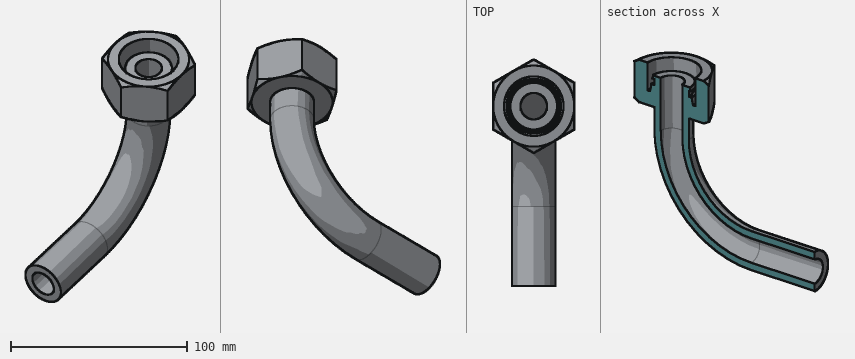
import cadquery as cq
import math

pipe_diameter = 25.0
bore_diameter = 15.0
bend_radius = 57.0
neck_length = 13.1
total_length = 128.5

nut_width = 46.0
nut_height = 27.0
corner_chamfer_angle = 30.0
socket_diameter = 33.8

nose_tip_diameter = 26.5
nose_base_diameter = 31.0
nose_recess = 7.0
nose_half_angle = 12.0
seal_groove_diameter = 25.0
seal_groove_width = 3.5
seal_groove_offset = 2.5

corner_radius = nut_width / math.sqrt(3)
tail_length = total_length - corner_radius - bend_radius
nut_bottom = bend_radius + neck_length
nut_top = nut_bottom + nut_height
nose_tip = nut_top - nose_recess
nose_length = (nose_base_diameter - nose_tip_diameter) / 2 / math.tan(math.radians(nose_half_angle))
nose_base = nose_tip - nose_length


def swept_round(diameter):
    """Round bar from the nose tip, round the bend and out along -Y."""
    path = (
        cq.Workplane("YZ")
        .moveTo(0, nose_tip)
        .lineTo(0, bend_radius)
        .radiusArc((-bend_radius, 0), bend_radius)
        .lineTo(-bend_radius - tail_length, 0)
    )
    return cq.Workplane("XY", origin=(0, 0, nose_tip)).circle(diameter / 2).sweep(path)


def chamfered_hexagon():
    """Hexagon with corners at +/-Y, its corners turned to a cone at both ends."""
    flat_radius = nut_width / 2
    drop = (corner_radius - flat_radius) * math.tan(math.radians(corner_chamfer_angle))
    hexagon = (
        cq.Workplane("XY", origin=(0, 0, nut_bottom))
        .polygon(6, 2 * corner_radius)
        .extrude(nut_height)
        .rotate((0, 0, 0), (0, 0, 1), 90)
    )
    turned_blank = (
        cq.Workplane("XZ")
        .moveTo(0, nut_bottom)
        .lineTo(flat_radius, nut_bottom)
        .lineTo(corner_radius, nut_bottom + drop)
        .lineTo(corner_radius, nut_top - drop)
        .lineTo(flat_radius, nut_top)
        .lineTo(0, nut_top)
        .close()
        .revolve(360, (0, 0, 0), (0, 1, 0))
    )
    return hexagon.intersect(turned_blank)


def tapered_nose():
    """Cone that narrows upwards to the nose tip."""
    return (
        cq.Workplane("XY", origin=(0, 0, nose_base))
        .circle(nose_base_diameter / 2)
        .workplane(offset=nose_length)
        .circle(nose_tip_diameter / 2)
        .loft()
    )


def seal_groove():
    """Ring that cuts the O-ring groove round the tapered nose."""
    return (
        cq.Workplane("XY", origin=(0, 0, nose_tip - seal_groove_offset - seal_groove_width))
        .circle(nose_base_diameter / 2)
        .circle(seal_groove_diameter / 2)
        .extrude(seal_groove_width)
    )


socket = (
    cq.Workplane("XY", origin=(0, 0, nose_base))
    .circle(socket_diameter / 2)
    .extrude(nut_top - nose_base)
)
nut = chamfered_hexagon().cut(socket)
nose = tapered_nose().cut(seal_groove())

result = nut.union(swept_round(pipe_diameter)).union(nose).cut(swept_round(bore_diameter))